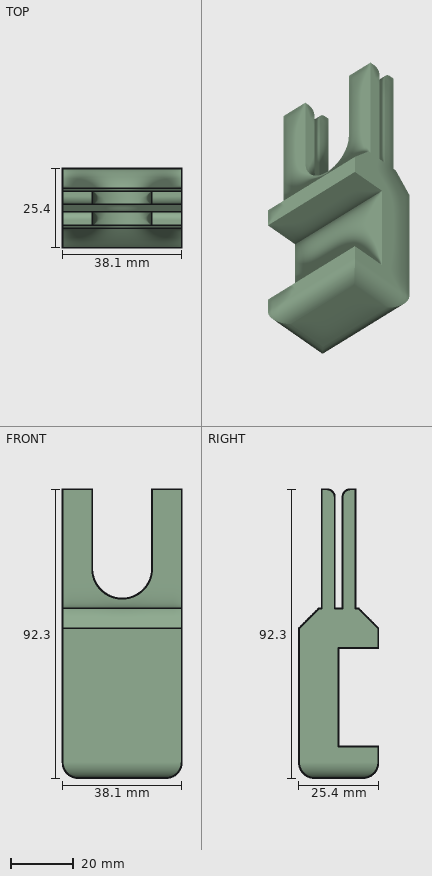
import cadquery as cq

width = 38.1
depth = 25.4
total_height = 92.31
bottom_fillet = 5.08

prong_height = 38.1
prong_gap = 2.413
prong_thickness = 4.191
lead_in_radius = 2.54
body_height = total_height - prong_height
shoulder_chamfer = 6.35

slot_width = 19.05
slot_straight_depth = 25.4

notch_depth = depth / 2
foot_height = 10.16
jaw_height = 12.7
notch_height = body_height - jaw_height - foot_height


def make_body():
    """Block with chamfered shoulders and a rounded bottom rim, standing on Z = 0."""
    block = cq.Workplane("XY").box(width, depth, body_height, centered=(True, True, False))
    block = block.faces(">Z").edges("|X").chamfer(shoulder_chamfer)
    return block.faces("<Z").edges().fillet(bottom_fillet)


def make_notch():
    """Full-width cutter open to the back of the body."""
    cutter = cq.Workplane("XY").box(width, notch_depth, notch_height, centered=(True, False, False))
    return cutter.translate((0, depth / 2 - notch_depth, foot_height))


def make_plate(side):
    """One plate on the given Y side (+1 or -1), its upper inner edge rounded."""
    plate = cq.Workplane("XY").box(width, prong_thickness, prong_height, centered=(True, True, False))
    inner_face = "<Y" if side > 0 else ">Y"
    plate = plate.faces(inner_face).edges(">Z").fillet(lead_in_radius)
    center_y = side * (prong_gap + prong_thickness) / 2
    return plate.translate((0, center_y, body_height))


def make_slot():
    """U-shaped cutter along Y: round at the bottom, open at the top."""
    slot_radius = slot_width / 2
    center_z = total_height - slot_straight_depth
    profile = (
        cq.Workplane("XZ")
        .moveTo(-slot_radius, total_height)
        .lineTo(-slot_radius, center_z)
        .threePointArc((0, center_z - slot_radius), (slot_radius, center_z))
        .lineTo(slot_radius, total_height)
        .close()
    )
    return profile.extrude(depth / 2, both=True)


result = make_body().cut(make_notch())
for plate_side in (-1, 1):
    result = result.union(make_plate(plate_side))
result = result.cut(make_slot())